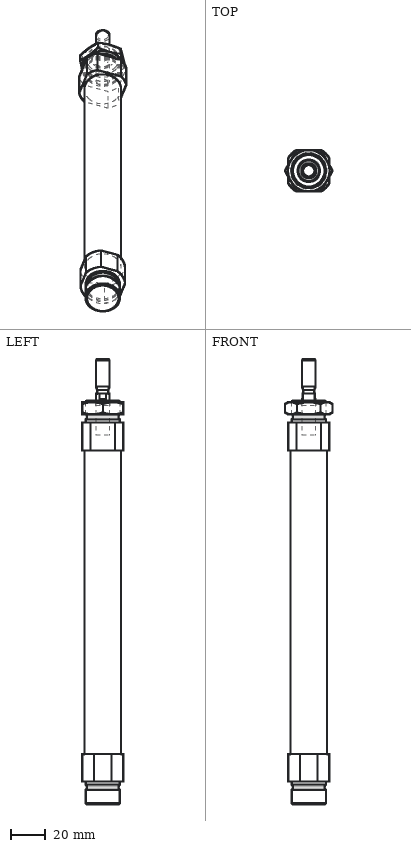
import cadquery as cq
import math

TOTAL_LENGTH = 258.1
ROD_PROJECTION = 24.0
FRONT_FACE_Z = TOTAL_LENGTH - ROD_PROJECTION

TUBE_DIAMETER = 21.3
WRENCH_SIZE = 24.0
THREAD_DIAMETER = 20.0
THREAD_ROOT_DIAMETER = 18.38
REAR_CAP_CORNER_DIAMETER = 26.0
FRONT_CAP_CORNER_DIAMETER = 28.0
REAR_CAP_BOTTOM_Z = 13.2
REAR_CAP_LENGTH = 16.0
FRONT_CAP_BOTTOM_Z = 205.1
FRONT_CAP_TOP_Z = 221.4
COLLAR_LENGTH = 1.7
RELIEF_LENGTH = 3.1
RELIEF_FILLET = 0.4
THREAD_DEPTH = (THREAD_DIAMETER - THREAD_ROOT_DIAMETER) / 2

RECESS_DIAMETER = 12.1
RECESS_DEPTH = 0.8
RECESS_CHAMFER = 0.4
RECESS_FILLET = 0.3
CLEARANCE_BORE_DIAMETER = 8.57
CLEARANCE_BORE_DEPTH = 3.0
LIP_RADIUS = 0.8

ROD_DIAMETER = 8.0
ROD_NECK_DIAMETER = 6.4
ROD_THREAD_LENGTH = 16.0
ROD_TAPER_LENGTH = 2.0
ROD_END_CHAMFER = 0.7
ROD_NECK_END = 20.0
ROD_FLAT_SIZE = 7.0
ROD_FLAT_LENGTH = 3.0
ROD_INSERTION = 20.0

NUT_WRENCH_SIZE = 24.0
NUT_THICKNESS = 7.0
NUT_SETBACK = 1.0
NUT_CHAMFER_DIAMETER = 24.0
NUT_CHAMFER_ANGLE = 30.0


def cylinder(diameter, bottom, top):
    return cq.Workplane("XY").workplane(offset=bottom).circle(diameter / 2).extrude(top - bottom)


def revolve_profile(points):
    """Turn a half profile of (radius, z) points around the Z axis."""
    return cq.Workplane("XZ").polyline(points).close().revolve(360, (0, 0, 0), (0, 1, 0))


def wrench_cap(corner_diameter, bottom, top):
    """Square wrench section whose corners are rounded by a coaxial cylinder."""
    height = top - bottom
    square = cq.Workplane("XY").workplane(offset=bottom).rect(WRENCH_SIZE, WRENCH_SIZE).extrude(height)
    return square.intersect(cylinder(corner_diameter, bottom, top))


def threaded_end(cap_z, face_z):
    """Collar, relief groove and thread cylinder, running from a cap out to an end face."""
    out = math.copysign(1, face_z - cap_z)
    major = THREAD_DIAMETER / 2
    root = THREAD_ROOT_DIAMETER / 2
    blank = revolve_profile([
        (0, cap_z),
        (major, cap_z),
        (major, face_z - out * THREAD_DEPTH),
        (root, face_z),
        (0, face_z),
    ])
    collar_z = cap_z + out * COLLAR_LENGTH
    thread_z = collar_z + out * RELIEF_LENGTH
    groove = revolve_profile([
        (major, collar_z),
        (root, collar_z + out * THREAD_DEPTH),
        (root, thread_z - out * THREAD_DEPTH),
        (major, thread_z),
    ])
    groove = groove.edges(cq.selectors.RadiusNthSelector(0)).fillet(RELIEF_FILLET)
    return blank.cut(groove)


def rod_recess():
    """Stepped opening around the rod: clearance bore, rounded lip, floor and chamfered mouth."""
    bore_radius = CLEARANCE_BORE_DIAMETER / 2
    radius = RECESS_DIAMETER / 2
    bottom_z = FRONT_FACE_Z - CLEARANCE_BORE_DEPTH
    floor_z = FRONT_FACE_Z - RECESS_DEPTH
    return (
        cq.Workplane("XZ")
        .moveTo(0, bottom_z)
        .lineTo(bore_radius, bottom_z)
        .lineTo(bore_radius, floor_z - LIP_RADIUS)
        .radiusArc((bore_radius + LIP_RADIUS, floor_z), LIP_RADIUS)
        .lineTo(radius - RECESS_FILLET, floor_z)
        .radiusArc((radius, floor_z + RECESS_FILLET), -RECESS_FILLET)
        .lineTo(radius, FRONT_FACE_Z - RECESS_CHAMFER)
        .lineTo(radius + RECESS_CHAMFER, FRONT_FACE_Z)
        .lineTo(0, FRONT_FACE_Z)
        .close()
        .revolve(360, (0, 0, 0), (0, 1, 0))
    )


def make_rod():
    radius = ROD_DIAMETER / 2
    neck = ROD_NECK_DIAMETER / 2
    taper_z = TOTAL_LENGTH - ROD_THREAD_LENGTH
    neck_bottom_z = TOTAL_LENGTH - ROD_NECK_END
    rod_bottom_z = FRONT_FACE_Z - ROD_INSERTION
    rod = revolve_profile([
        (0, rod_bottom_z),
        (radius, rod_bottom_z),
        (radius, neck_bottom_z),
        (neck, neck_bottom_z),
        (neck, taper_z - ROD_TAPER_LENGTH),
        (radius, taper_z),
        (radius, TOTAL_LENGTH - ROD_END_CHAMFER),
        (radius - ROD_END_CHAMFER, TOTAL_LENGTH),
        (0, TOTAL_LENGTH),
    ])
    flat_offset = (ROD_FLAT_SIZE + ROD_DIAMETER) / 2
    flat_middle_z = neck_bottom_z - ROD_FLAT_LENGTH / 2
    for side in (-1, 1):
        cutter = cq.Workplane("XY").box(ROD_DIAMETER, ROD_DIAMETER, ROD_FLAT_LENGTH)
        cutter = cutter.translate((side * flat_offset, 0, flat_middle_z))
        rod = rod.cut(cutter)
    return rod


def make_housing():
    rear_cap_top = REAR_CAP_BOTTOM_Z + REAR_CAP_LENGTH
    housing = (
        cylinder(TUBE_DIAMETER, rear_cap_top, FRONT_CAP_BOTTOM_Z)
        .union(wrench_cap(REAR_CAP_CORNER_DIAMETER, REAR_CAP_BOTTOM_Z, rear_cap_top))
        .union(wrench_cap(FRONT_CAP_CORNER_DIAMETER, FRONT_CAP_BOTTOM_Z, FRONT_CAP_TOP_Z))
        .union(threaded_end(REAR_CAP_BOTTOM_Z, 0))
        .union(threaded_end(FRONT_CAP_TOP_Z, FRONT_FACE_Z))
    )
    rod_bore = cylinder(ROD_DIAMETER, FRONT_FACE_Z - ROD_INSERTION, FRONT_FACE_Z)
    return housing.cut(rod_bore).cut(rod_recess())


def make_nut():
    top = FRONT_FACE_Z - NUT_SETBACK
    bottom = top - NUT_THICKNESS
    corner_radius = NUT_WRENCH_SIZE / math.sqrt(3)
    face_radius = NUT_CHAMFER_DIAMETER / 2
    drop = (corner_radius - face_radius) * math.tan(math.radians(NUT_CHAMFER_ANGLE))
    hexagon = cq.Workplane("XY").workplane(offset=bottom).polygon(6, 2 * corner_radius).extrude(NUT_THICKNESS)
    envelope = revolve_profile([
        (0, bottom),
        (face_radius, bottom),
        (corner_radius, bottom + drop),
        (corner_radius, top - drop),
        (face_radius, top),
        (0, top),
    ])
    return hexagon.intersect(envelope).cut(cylinder(THREAD_DIAMETER, bottom, top))


housing = make_housing()
rod = make_rod()
nut = make_nut()
result = cq.Compound.makeCompound([housing.val(), rod.val(), nut.val()])